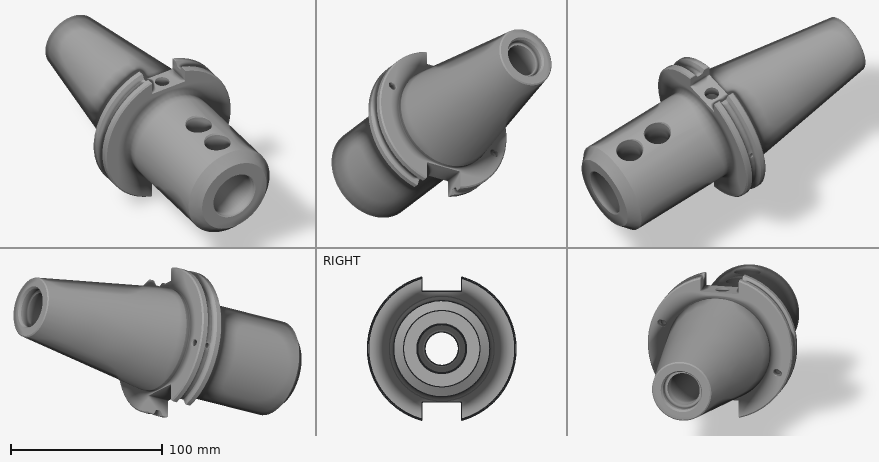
import cadquery as cq
import math


GAUGE_DIAMETER = 69.85
TAPER_LENGTH = 101.6
TAPER_RATE = 7 / 24
SMALL_END_CHAMFER = 0.7

NECK_DIAMETER = 69.25
NECK_CONE_LENGTH = 1.4
NECK_FILLET = 0.6

FLANGE_START = TAPER_LENGTH + 3.175
FLANGE_WIDTH = 15.875
FLANGE_DIAMETER = 98.425
FLANGE_CHAMFER = 0.9
GROOVE_CENTER = FLANGE_START + 7.95
GROOVE_FLOOR_DIAMETER = 91.9
GROOVE_FLOOR_WIDTH = 3.7
GROOVE_FLANK_ANGLE = 30

TOTAL_LENGTH = 201.6
BODY_DIAMETER = 63.5
BODY_FILLET = 2.9
NOSE_CHAMFER = 6.5

DRAWBAR_HOLE_DIAMETER = 21.97
DRAWBAR_RECESS_DIAMETER = 26.2
DRAWBAR_RECESS_DEPTH = 6.0
DRAWBAR_MOUTH_DIAMETER = 28.2
TOOL_BORE_DIAMETER = 31.75
TOOL_BORE_DEPTH = 85.0
TOOL_BORE_MOUTH_DIAMETER = 32.95

SLOT_WIDTH = 26.0
TOP_SLOT_HEIGHT = 38.0
BOTTOM_SLOT_HEIGHT = 35.3
SLOT_CORNER_RADIUS = 0.6
SLOT_EDGE_CHAMFER = 0.5
DIMPLE_DIAMETER = 9.53
DIMPLE_DEPTH = 7.0
DRILL_POINT_ANGLE = 118

COUNTERSINK_ANGLE = 60

SCREW_HOLE_DIAMETER = 17.32
LAST_SCREW_FROM_NOSE = 20.85
SCREW_SPACING = 23.0
SCREW_COUNT = 2

COOLANT_ANGLE = 20
PLUG_MOUTH_DIAMETER = 5.0
PLUG_HOLE_DIAMETER = 4.13
PLUG_HOLE_RADIUS = 41.2
PLUG_HOLE_DEPTH = 6.0
FEED_HOLE_DIAMETER = 4.2
FEED_HOLE_RADIUS = 42.9
FEED_HOLE_DEPTH = 3.0
OUTLET_DIAMETER = 3.24

FLANGE_END = FLANGE_START + FLANGE_WIDTH
COUNTERSINK_SLOPE = math.tan(math.radians(COUNTERSINK_ANGLE / 2))


def frustum(x_start, radius_start, x_end, radius_end):
    """Solid of revolution about X between two radii."""
    profile = [(x_start, 0), (x_start, radius_start), (x_end, radius_end), (x_end, 0)]
    return cq.Workplane("XY").polyline(profile).close().revolve(360, (0, 0, 0), (1, 0, 0))


def turned_body():
    """Taper, neck, flange with groove, and straight body as one revolved outline."""
    gauge_radius = GAUGE_DIAMETER / 2
    small_radius = gauge_radius - TAPER_LENGTH * TAPER_RATE / 2
    chamfer_radius = small_radius + SMALL_END_CHAMFER * TAPER_RATE / 2
    neck_radius = NECK_DIAMETER / 2
    flange_radius = FLANGE_DIAMETER / 2
    floor_radius = GROOVE_FLOOR_DIAMETER / 2
    floor_half = GROOVE_FLOOR_WIDTH / 2
    flank_run = (flange_radius - floor_radius) * math.tan(math.radians(GROOVE_FLANK_ANGLE))
    mouth_half = floor_half + flank_run
    body_radius = BODY_DIAMETER / 2
    fillet_end = (FLANGE_END + BODY_FILLET, body_radius)
    outline = (
        cq.Workplane("XY")
        .moveTo(0, 0)
        .lineTo(0, small_radius - SMALL_END_CHAMFER)
        .lineTo(SMALL_END_CHAMFER, chamfer_radius)
        .lineTo(TAPER_LENGTH, gauge_radius)
        .lineTo(TAPER_LENGTH + NECK_CONE_LENGTH, neck_radius)
        .lineTo(FLANGE_START - NECK_FILLET, neck_radius)
        .radiusArc((FLANGE_START, neck_radius + NECK_FILLET), -NECK_FILLET)
        .lineTo(FLANGE_START, flange_radius - FLANGE_CHAMFER)
        .lineTo(FLANGE_START + FLANGE_CHAMFER, flange_radius)
        .lineTo(GROOVE_CENTER - mouth_half, flange_radius)
        .lineTo(GROOVE_CENTER - floor_half, floor_radius)
        .lineTo(GROOVE_CENTER + floor_half, floor_radius)
        .lineTo(GROOVE_CENTER + mouth_half, flange_radius)
        .lineTo(FLANGE_END - FLANGE_CHAMFER, flange_radius)
        .lineTo(FLANGE_END, flange_radius - FLANGE_CHAMFER)
        .lineTo(FLANGE_END, body_radius + BODY_FILLET)
        .radiusArc(fillet_end, -BODY_FILLET)
        .lineTo(TOTAL_LENGTH - NOSE_CHAMFER, body_radius)
        .lineTo(TOTAL_LENGTH, body_radius - NOSE_CHAMFER)
        .lineTo(TOTAL_LENGTH, 0)
        .close()
    )
    return outline.revolve(360, (0, 0, 0), (1, 0, 0))


def axial_bore():
    """Drawbar hole with its recess at the taper end, and the tool bore at the nose."""
    hole_radius = DRAWBAR_HOLE_DIAMETER / 2
    recess_radius = DRAWBAR_RECESS_DIAMETER / 2
    mouth_radius = DRAWBAR_MOUTH_DIAMETER / 2
    bore_radius = TOOL_BORE_DIAMETER / 2
    bore_mouth_radius = TOOL_BORE_MOUTH_DIAMETER / 2
    bore_chamfer = bore_mouth_radius - bore_radius
    through_hole = frustum(0, hole_radius, TOTAL_LENGTH, hole_radius)
    recess = frustum(0, recess_radius, DRAWBAR_RECESS_DEPTH, recess_radius)
    mouth_depth = (mouth_radius - recess_radius) / COUNTERSINK_SLOPE
    recess_mouth = frustum(0, mouth_radius, mouth_depth, recess_radius)
    tool_bore = frustum(TOTAL_LENGTH - TOOL_BORE_DEPTH, bore_radius, TOTAL_LENGTH, bore_radius)
    bore_mouth = frustum(TOTAL_LENGTH - bore_chamfer, bore_radius, TOTAL_LENGTH, bore_mouth_radius)
    return through_hole.union(recess).union(recess_mouth).union(tool_bore).union(bore_mouth)


def drive_slot(floor_height, side):
    """Flat-floored slot through the flange; side is +1 for the top, -1 for the bottom."""
    depth = FLANGE_DIAMETER / 2 - floor_height
    half_width = SLOT_WIDTH / 2
    rim_height = math.sqrt((FLANGE_DIAMETER / 2) ** 2 - half_width**2) - floor_height
    chamfer_bottom = rim_height - SLOT_EDGE_CHAMFER
    slot = cq.Workplane("XY").box(FLANGE_WIDTH, SLOT_WIDTH, depth, centered=(False, True, False))
    slot = slot.edges("|X and <Z").fillet(SLOT_CORNER_RADIUS)
    chamfer_top = half_width + depth - chamfer_bottom
    profile = [
        (-half_width, chamfer_bottom),
        (half_width, chamfer_bottom),
        (chamfer_top, depth),
        (-chamfer_top, depth),
    ]
    slot = slot.union(cq.Workplane("YZ").polyline(profile).close().extrude(FLANGE_WIDTH))
    slot = slot.translate((FLANGE_START, 0, floor_height))
    if side < 0:
        slot = slot.mirror("XY")
    return slot


def blind_drill(diameter, depth):
    """Drilled hole from the origin along -Z, with a conical end beyond its full depth."""
    radius = diameter / 2
    point_length = radius / math.tan(math.radians(DRILL_POINT_ANGLE / 2))
    profile = [(0, 0), (radius, 0), (radius, -depth), (0, -depth - point_length)]
    return cq.Workplane("XZ").polyline(profile).close().revolve(360, (0, 0, 0), (0, 1, 0))


def dimple():
    """Drilled blind hole in the floor of the top slot."""
    drill = blind_drill(DIMPLE_DIAMETER, DIMPLE_DEPTH)
    return drill.translate((GROOVE_CENTER, 0, TOP_SLOT_HEIGHT))


def screw_hole(x):
    """Clamping screw hole from the top of the body into the tool bore, with a chamfered mouth."""
    top = BODY_DIAMETER / 2
    hole_radius = SCREW_HOLE_DIAMETER / 2
    cone_start = math.sqrt(top**2 - hole_radius**2)
    mouth_radius = hole_radius + (top - cone_start) * COUNTERSINK_SLOPE
    profile = [
        (0, 0),
        (hole_radius, 0),
        (hole_radius, cone_start),
        (mouth_radius, top),
        (0, top),
    ]
    hole = cq.Workplane("XZ").polyline(profile).close().revolve(360, (0, 0, 0), (0, 1, 0))
    return hole.translate((x, 0, 0))


def axial_drill(diameter, depth, radius):
    """Drilled hole into the taper-side flange face, along +X, at a distance from the axis."""
    drill = blind_drill(diameter, depth).rotate((0, 0, 0), (0, 1, 0), -90)
    return drill.translate((FLANGE_START, radius, 0))


def coolant_hole(angle):
    """Overlapping plug and feed holes meeting a radial outlet in the groove floor."""
    plug_hole = axial_drill(PLUG_HOLE_DIAMETER, PLUG_HOLE_DEPTH, PLUG_HOLE_RADIUS)
    mouth_radius = PLUG_MOUTH_DIAMETER / 2
    hole_radius = PLUG_HOLE_DIAMETER / 2
    mouth_end = FLANGE_START + mouth_radius - hole_radius
    plug_mouth = frustum(FLANGE_START, mouth_radius, mouth_end, hole_radius)
    plug_hole = plug_hole.union(plug_mouth.translate((0, PLUG_HOLE_RADIUS, 0)))
    feed_hole = axial_drill(FEED_HOLE_DIAMETER, FEED_HOLE_DEPTH, FEED_HOLE_RADIUS)
    outlet_length = FLANGE_DIAMETER / 2 - PLUG_HOLE_RADIUS
    outlet = cq.Workplane("XZ").circle(OUTLET_DIAMETER / 2).extrude(-outlet_length)
    outlet = outlet.translate((GROOVE_CENTER, PLUG_HOLE_RADIUS, 0))
    return plug_hole.union(feed_hole).union(outlet).rotate((0, 0, 0), (1, 0, 0), angle)


result = turned_body().cut(axial_bore())
result = result.cut(drive_slot(TOP_SLOT_HEIGHT, 1))
result = result.cut(drive_slot(BOTTOM_SLOT_HEIGHT, -1))
result = result.cut(dimple())
for index in range(SCREW_COUNT):
    result = result.cut(screw_hole(TOTAL_LENGTH - LAST_SCREW_FROM_NOSE - index * SCREW_SPACING))
for angle in (COOLANT_ANGLE, COOLANT_ANGLE + 180):
    result = result.cut(coolant_hole(angle))